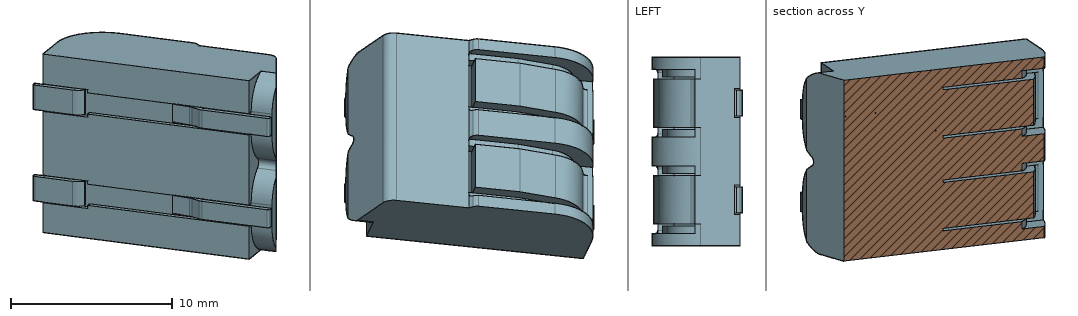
import cadquery as cq
import math


LENGTH = 15.8
WIDTH = 11.7
HEIGHT = 5.45
FRONT_X = 0.63
NOSE_RADIUS = 3.0
NOSE_X = FRONT_X + NOSE_RADIUS
NOSE_Y = HEIGHT - NOSE_RADIUS
DECK_Y = 5.1
STEP_X = 9.04
STEP_TOP_X = STEP_X - (HEIGHT - DECK_Y)
STEP_RADIUS = 0.47
BACK_TOP_X = 14.19
BACK_CORNER_RADIUS = 0.79
BACK_FOOT_Y = 1.01

POLE_PITCH = 5.99
POLE_CENTRES = (-POLE_PITCH / 2, POLE_PITCH / 2)

FUNNEL_X = 14.41
FUNNEL_EDGE_Y = 1.98
FUNNEL_MID_OFFSET = 2.21
FUNNEL_MID_Y = 0.93
FUNNEL_INNER_MID_Y = 0.87
FUNNEL_FLAT_HALF = 0.75
VALLEY_HALF = 0.32
VALLEY_EDGE_Y = 1.39
VALLEY_TOP_Y = 1.58

CHANNEL_DEPTH = 0.33
CHANNEL_WIDTH = 1.39
TAIL_POCKET_WIDTH = 1.8
TAIL_POCKET_END_X = 3.62

CONTACT_BOTTOM_Y = -0.15
CONTACT_TOP_Y = 0.22
TIP_RADIUS = 0.16
TAIL_WIDTH = 1.61
TAIL_BEND_X = 2.69
TAIL_END_X = 3.35
TAIL_END_Y = 0.15
FOOT_WIDTH = 1.18
FOOT_START_X = 9.21
FOOT_START_Y = 0.24
FOOT_RAISED_Y = 0.15
FOOT_BEND_X = 10.46
FOOT_FLAT_X = 11.2
FOOT_BEND_RADIUS = 0.63

FLOOR_Y = 2.78
LEVER_WIDTH = 3.0
LEVER_X = NOSE_X + 0.24
LEVER_RADIUS = 2.6
LEVER_FOOT_RADIUS = 0.35
RAMP_ANGLE = math.radians(8.0)
RAMP_END_X = 5.85
SLOT_WIDTH = 0.6
SLOT_CORNER_RADIUS = 0.2
SLOT_LEDGE_X = 7.9
SLOT_LEDGE_Y = 4.11
RAIL_WIDTH = 0.47
RAIL_RADIUS = 2.07


def box(x_range, y_range, z_range):
    """Box between the given limits."""
    size = [high - low for low, high in (x_range, y_range, z_range)]
    corner = (x_range[0], y_range[0], z_range[0])
    return cq.Workplane("XY").box(*size, centered=False).translate(corner)


def bar(profile, width, centre_z):
    """Extrude a closed XY profile symmetrically about centre_z."""
    return profile.extrude(width / 2, both=True).translate((0, 0, centre_z))


def make_shell():
    """Solid housing with the rounded nose, stepped top and sloping back."""
    nose_diagonal = NOSE_RADIUS * math.sqrt(0.5)
    profile = (
        cq.Workplane("XY")
        .moveTo(FRONT_X, 0)
        .lineTo(FRONT_X, NOSE_Y)
        .threePointArc((NOSE_X - nose_diagonal, NOSE_Y + nose_diagonal), (NOSE_X, HEIGHT))
        .lineTo(STEP_TOP_X, HEIGHT)
        .lineTo(STEP_X, DECK_Y)
        .lineTo(BACK_TOP_X, DECK_Y)
        .lineTo(LENGTH, BACK_FOOT_Y)
        .lineTo(LENGTH, 0)
        .close()
    )
    shell = bar(profile, WIDTH, 0)
    shell = shell.edges(cq.NearestToPointSelector((STEP_TOP_X, HEIGHT, 0))).fillet(STEP_RADIUS)
    return shell.edges(cq.NearestToPointSelector((BACK_TOP_X, DECK_Y, 0))).fillet(BACK_CORNER_RADIUS)


def make_funnel_relief():
    """Material removed below the two funnels; drawn as (Y, Z) across the back end."""
    pole = POLE_PITCH / 2
    side = WIDTH / 2
    outer_mid = pole + FUNNEL_MID_OFFSET
    outer_flat = pole + FUNNEL_FLAT_HALF
    inner_flat = pole - FUNNEL_FLAT_HALF
    inner_mid = pole - FUNNEL_MID_OFFSET
    outline = (
        cq.Workplane("YZ", origin=(FUNNEL_X, 0, 0))
        .moveTo(FUNNEL_EDGE_Y, -side)
        .threePointArc((FUNNEL_MID_Y, -outer_mid), (CHANNEL_DEPTH, -outer_flat))
        .lineTo(CHANNEL_DEPTH, -inner_flat)
        .threePointArc((FUNNEL_INNER_MID_Y, -inner_mid), (VALLEY_EDGE_Y, -VALLEY_HALF))
        .threePointArc((VALLEY_TOP_Y, 0), (VALLEY_EDGE_Y, VALLEY_HALF))
        .threePointArc((FUNNEL_INNER_MID_Y, inner_mid), (CHANNEL_DEPTH, inner_flat))
        .lineTo(CHANNEL_DEPTH, outer_flat)
        .threePointArc((FUNNEL_MID_Y, outer_mid), (FUNNEL_EDGE_Y, side))
        .lineTo(0, side)
        .lineTo(0, -side)
        .close()
    )
    return outline.extrude(LENGTH - FUNNEL_X)


def make_channel(pole_z):
    """Channel for one contact, wider under the tail."""
    pocket_half = TAIL_POCKET_WIDTH / 2
    channel_half = CHANNEL_WIDTH / 2
    depth = (0, CHANNEL_DEPTH)
    pocket = box((FRONT_X, TAIL_POCKET_END_X), depth, (pole_z - pocket_half, pole_z + pocket_half))
    run = box((FRONT_X, FUNNEL_X), depth, (pole_z - channel_half, pole_z + channel_half))
    return pocket.union(run)


def make_tail(pole_z):
    """Solder tail that sticks out of the plain end and curves up into its pocket."""
    rise = TAIL_END_Y - CONTACT_BOTTOM_Y
    run = TAIL_END_X - TAIL_BEND_X
    bend_radius = (run**2 + rise**2) / (2 * rise)
    half_angle = math.asin(run / bend_radius) / 2
    bend_mid = (
        TAIL_BEND_X + bend_radius * math.sin(half_angle),
        CONTACT_BOTTOM_Y + bend_radius * (1 - math.cos(half_angle)),
    )
    profile = (
        cq.Workplane("XY")
        .moveTo(0, CONTACT_TOP_Y)
        .lineTo(0, CONTACT_BOTTOM_Y + TIP_RADIUS)
        .radiusArc((TIP_RADIUS, CONTACT_BOTTOM_Y), -TIP_RADIUS)
        .lineTo(TAIL_BEND_X, CONTACT_BOTTOM_Y)
        .threePointArc(bend_mid, (TAIL_END_X, TAIL_END_Y))
        .lineTo(TAIL_END_X, CHANNEL_DEPTH)
        .lineTo(TAIL_BEND_X, CHANNEL_DEPTH)
        .lineTo(TAIL_BEND_X, CONTACT_TOP_Y)
        .close()
    )
    return bar(profile, TAIL_WIDTH, pole_z)


def make_foot(pole_z):
    """Solder foot that bends down out of the channel and runs below the funnel."""
    profile = (
        cq.Workplane("XY")
        .moveTo(FOOT_START_X, CHANNEL_DEPTH)
        .lineTo(FOOT_START_X, FOOT_START_Y)
        .lineTo(FOOT_BEND_X, FOOT_RAISED_Y)
        .lineTo(FOOT_FLAT_X, CONTACT_BOTTOM_Y)
        .lineTo(LENGTH - TIP_RADIUS, CONTACT_BOTTOM_Y)
        .radiusArc((LENGTH, CONTACT_BOTTOM_Y + TIP_RADIUS), -TIP_RADIUS)
        .lineTo(LENGTH, CONTACT_TOP_Y)
        .lineTo(FOOT_FLAT_X, CONTACT_TOP_Y)
        .lineTo(FOOT_FLAT_X, CHANNEL_DEPTH)
        .close()
    )
    foot = bar(profile, FOOT_WIDTH, pole_z)
    for bend in ((FOOT_BEND_X, FOOT_RAISED_Y), (FOOT_FLAT_X, CONTACT_BOTTOM_Y)):
        foot = foot.edges(cq.NearestToPointSelector((*bend, pole_z))).fillet(FOOT_BEND_RADIUS)
    return foot


def on_arc(radius, angle):
    """Point on a circle about the lever axis; the angle is raised from the -X direction."""
    return (LEVER_X - radius * math.cos(angle), NOSE_Y + radius * math.sin(angle))


def finish_ramped_top(profile, radius, start_angle, end_x):
    """Follow a lever-axis arc, its tangent ramp and a level top, then close at the floor."""
    ramp_angle = math.pi / 2 - RAMP_ANGLE
    ramp_start = on_arc(radius, ramp_angle)
    top_y = ramp_start[1] + (RAMP_END_X - ramp_start[0]) * math.tan(RAMP_ANGLE)
    return (
        profile
        .threePointArc(on_arc(radius, (start_angle + ramp_angle) / 2), ramp_start)
        .lineTo(RAMP_END_X, top_y)
        .lineTo(end_x, top_y)
        .lineTo(end_x, FLOOR_Y)
        .close()
    )


def make_lever(pole_z):
    """Release lever, blended into the floor by a concave foot."""
    foot_y = FLOOR_Y + LEVER_FOOT_RADIUS
    start_angle = math.asin((foot_y - NOSE_Y) / (LEVER_RADIUS + LEVER_FOOT_RADIUS))
    foot_x = on_arc(LEVER_RADIUS + LEVER_FOOT_RADIUS, start_angle)[0]
    profile = (
        cq.Workplane("XY")
        .moveTo(foot_x, FLOOR_Y)
        .radiusArc(on_arc(LEVER_RADIUS, start_angle), -LEVER_FOOT_RADIUS)
    )
    return bar(finish_ramped_top(profile, LEVER_RADIUS, start_angle, STEP_TOP_X), LEVER_WIDTH, pole_z)


def make_rail(centre_z):
    """Low rail on the outer side of a slot, with the same form as the lever."""
    start_angle = math.asin((FLOOR_Y - NOSE_Y) / RAIL_RADIUS)
    profile = cq.Workplane("XY").moveTo(*on_arc(RAIL_RADIUS, start_angle))
    return bar(finish_ramped_top(profile, RAIL_RADIUS, start_angle, STEP_X), RAIL_WIDTH, centre_z)


def make_lever_bay(pole_z):
    """Opening for one lever and its two slots, stepped at the far end."""
    half = LEVER_WIDTH / 2 + SLOT_WIDTH
    across = (pole_z - half, pole_z + half)
    upper = box((FRONT_X, STEP_X), (SLOT_LEDGE_Y, HEIGHT), across)
    upper = upper.edges("|Y and >X").fillet(SLOT_CORNER_RADIUS)
    lower = box((FRONT_X, SLOT_LEDGE_X), (FLOOR_Y, SLOT_LEDGE_Y), across)
    return upper.union(lower)


result = make_shell().cut(make_funnel_relief())

for pole_z in POLE_CENTRES:
    lever_half = LEVER_WIDTH / 2
    sill = box((FRONT_X, NOSE_X), (0, FLOOR_Y), (pole_z - lever_half, pole_z + lever_half))
    result = result.cut(make_lever_bay(pole_z)).union(sill)
    result = result.cut(make_channel(pole_z)).union(make_lever(pole_z))
    rail_offset = lever_half + SLOT_WIDTH - RAIL_WIDTH / 2
    for side in (-1, 1):
        result = result.union(make_rail(pole_z + side * rail_offset))
    result = result.union(make_tail(pole_z)).union(make_foot(pole_z))